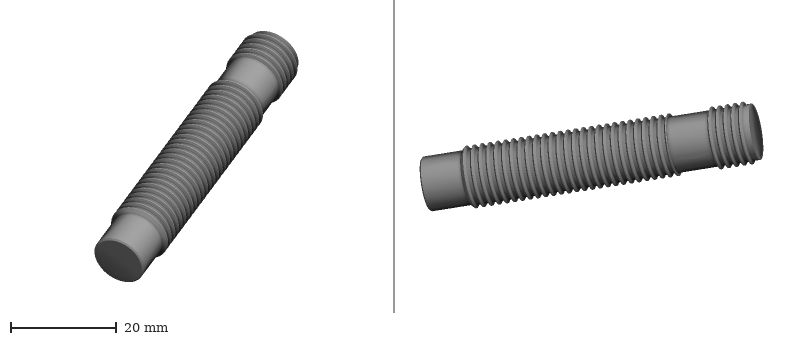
import cadquery as cq
import math

total_length = 64.5
nose_length = 8.0
body_end = 48.5

nose_diameter = 10.5
root_diameter = 10.8
crest_diameter = 12.0

nose_chamfer = 0.3
body_chamfer = (crest_diameter - nose_diameter) / 2

rib_pitch = 1.52
rib_crest_width = rib_pitch / 8
rib_flank_angle = 30.0
tail_rib_pitch = 1.5
tail_rib_count = 5
tail_first_rib = 56.8

window_diameter = 2.85
window_depth = 1.0
window_position = 53.25
window_count = 4

nose_radius = nose_diameter / 2
root_radius = root_diameter / 2
crest_radius = crest_diameter / 2
half_crest = rib_crest_width / 2
flank_length = (crest_radius - root_radius) * math.tan(math.radians(rib_flank_angle))

first_crest = nose_length + body_chamfer + half_crest
body_rib_count = math.floor((body_end - first_crest) / rib_pitch) + 1
last_crest = first_crest + (body_rib_count - 1) * rib_pitch


def rising_flank(center):
    """Profile points (radius, y) from the root up to the near edge of a crest."""
    near_edge = center - half_crest
    return [(root_radius, near_edge - flank_length), (crest_radius, near_edge)]


def falling_flank(center):
    """Profile points (radius, y) from the far edge of a crest down to the root."""
    far_edge = center + half_crest
    return [(crest_radius, far_edge), (root_radius, far_edge + flank_length)]


def make_body():
    """Half profile revolved about the Y axis."""
    points = [
        (0, 0),
        (nose_radius - nose_chamfer, 0),
        (nose_radius, nose_chamfer),
        (nose_radius, nose_length),
        (crest_radius, nose_length + body_chamfer),
    ]
    points += falling_flank(first_crest)
    for index in range(1, body_rib_count - 1):
        center = first_crest + index * rib_pitch
        points += rising_flank(center) + falling_flank(center)
    points += rising_flank(last_crest)
    points += [(crest_radius, body_end), (root_radius, body_end)]
    for index in range(tail_rib_count):
        center = tail_first_rib + index * tail_rib_pitch
        points += rising_flank(center) + falling_flank(center)
    points += [(root_radius, total_length), (0, total_length)]
    return cq.Workplane("XY").polyline(points).close().revolve(360, (0, 0, 0), (0, 1, 0))


def make_window(body, angle):
    """Plug of the body material below one window, turned about Y by the given angle."""
    plug = (
        cq.Workplane("XY", origin=(0, window_position, root_radius - window_depth))
        .circle(window_diameter / 2)
        .extrude(2 * window_depth)
        .rotate((0, 0, 0), (0, 1, 0), angle)
    )
    return body.intersect(plug)


def add_windows(body):
    """Split the surface along each window outline; the windows stay flush with it."""
    for index in range(window_count):
        window = make_window(body, index * 360 / window_count)
        body = body.cut(window, clean=False).union(window, clean=False)
    return body


result = add_windows(make_body())